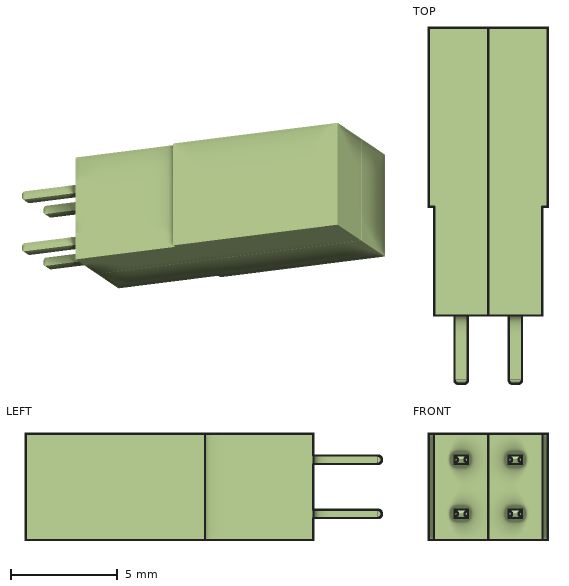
import cadquery as cq

WIDE_WIDTH = 5.58
NARROW_WIDTH = 5.08
HEIGHT = 5.0
TOTAL_LENGTH = 16.7
WIDE_LENGTH = 8.4
JOINT_GAP = 0.01
PIN_LENGTH = 3.2

PIN_PITCH = 2.54
PIN_WIDTH = 0.63
PIN_THICKNESS = 0.4
TIP_RADIUS = 0.199

STEP_Y = TOTAL_LENGTH - WIDE_LENGTH


def make_housing_half(side):
    """Stepped block on one side (-1 or +1) of the narrow gap along X = 0."""
    outline = [
        (side * JOINT_GAP / 2, PIN_LENGTH),
        (side * NARROW_WIDTH / 2, PIN_LENGTH),
        (side * NARROW_WIDTH / 2, STEP_Y),
        (side * WIDE_WIDTH / 2, STEP_Y),
        (side * WIDE_WIDTH / 2, TOTAL_LENGTH),
        (side * JOINT_GAP / 2, TOTAL_LENGTH),
    ]
    return cq.Workplane("XY").polyline(outline).close().extrude(HEIGHT / 2, both=True)


def make_pin(x, z):
    """Exposed pin with a rounded tip, ending on the housing's front face."""
    pin = cq.Workplane("XY").box(PIN_WIDTH, PIN_LENGTH, PIN_THICKNESS, centered=(True, False, True))
    return pin.faces("<Y").edges().fillet(TIP_RADIUS).translate((x, 0, z))


def make_connector(side):
    """One single-row connector: half of the housing with its two pins."""
    connector = make_housing_half(side)
    for row in (-1, 1):
        connector = connector.union(make_pin(side * PIN_PITCH / 2, row * PIN_PITCH / 2))
    return connector


connectors = [make_connector(side) for side in (-1, 1)]

result = cq.Compound.makeCompound([connector.val() for connector in connectors])